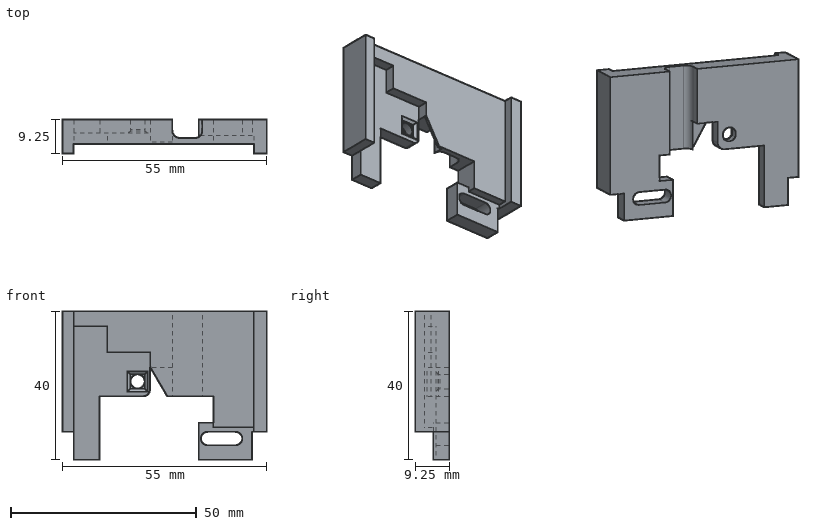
import cadquery as cq

LENGTH = 55.0
DEPTH = 9.25
HEIGHT = 40.0

PLATE_THICKNESS = 6.7
LEG_THICKNESS = 3.7
FOOT_THICKNESS = 4.35

RAIL_BOTTOM = 7.5
LEFT_RAIL_WIDTH = 3.0
RIGHT_RAIL_INNER = 51.5

STEP_X = 12.0
STEP_TOP = 35.95
STEP_BOTTOM = 28.95
NOTCH_X = 23.6
NOTCH_TOP = 24.85
NOTCH_FOOT_X = 28.15
WEB_BOTTOM = 17.05
RIGHT_LEG_X = 40.6
RIGHT_LEG_BOTTOM = 8.7

LEG_RIGHT = 10.0
TAB_CORNER_RADIUS = 2.0

FOOT_LEFT = 36.65
FOOT_RIGHT = 51.0
FOOT_TOP = 10.0
SLOT_LENGTH = 11.05
SLOT_WIDTH = 3.5
SLOT_CENTER_X = 42.8
SLOT_CENTER_Z = 5.7

CHANNEL_LEFT = 29.6
CHANNEL_RIGHT = 37.6
CHANNEL_DEPTH = 5.0
CHANNEL_RADIUS = 2.0

NOTCH_WEB_THICKNESS = 0.65

HOLE_DIAMETER = 3.8
HOLE_X = 20.2
HOLE_Z = 21.05
MOUTH_SIZE = 5.5
MOUTH_TAPER_DEPTH = 0.6
SEAT_DEPTH = 1.05


def back_layer(points, thickness):
    """Extrude an XZ outline forward from the back face."""
    return cq.Workplane("XZ", origin=(0, DEPTH, 0)).polyline(points).close().extrude(thickness)


def box(x_min, x_max, thickness, z_min, z_max):
    """Block standing against the back face."""
    outline = [(x_min, z_min), (x_max, z_min), (x_max, z_max), (x_min, z_max)]
    return back_layer(outline, thickness)


def front_plate():
    outline = [
        (0, HEIGHT),
        (0, STEP_TOP),
        (STEP_X, STEP_TOP),
        (STEP_X, STEP_BOTTOM),
        (NOTCH_X, STEP_BOTTOM),
        (NOTCH_X, NOTCH_TOP),
        (NOTCH_FOOT_X, WEB_BOTTOM),
        (RIGHT_LEG_X, WEB_BOTTOM),
        (RIGHT_LEG_X, RIGHT_LEG_BOTTOM),
        (RIGHT_RAIL_INNER, RIGHT_LEG_BOTTOM),
        (RIGHT_RAIL_INNER, HEIGHT),
    ]
    return back_layer(outline, PLATE_THICKNESS)


def left_leg():
    leg = box(LEFT_RAIL_WIDTH, LEG_RIGHT, LEG_THICKNESS, 0, STEP_TOP)
    shoulder = box(LEFT_RAIL_WIDTH, STEP_X, LEG_THICKNESS, STEP_BOTTOM, STEP_TOP)
    tab = box(LEFT_RAIL_WIDTH, NOTCH_X, LEG_THICKNESS, WEB_BOTTOM, STEP_BOTTOM)
    tab = tab.edges("|Y and >X and <Z").fillet(TAB_CORNER_RADIUS)
    return leg.union(shoulder).union(tab)


def foot():
    upper = box(RIGHT_LEG_X, RIGHT_RAIL_INNER, FOOT_THICKNESS, RAIL_BOTTOM, FOOT_TOP)
    lower = box(FOOT_LEFT, FOOT_RIGHT, FOOT_THICKNESS, 0, FOOT_TOP)
    slot = (
        cq.Workplane("XZ", origin=(0, DEPTH, 0))
        .center(SLOT_CENTER_X, SLOT_CENTER_Z)
        .slot2D(SLOT_LENGTH, SLOT_WIDTH)
        .extrude(FOOT_THICKNESS)
    )
    return upper.union(lower).cut(slot)


def back_channel():
    channel = box(CHANNEL_LEFT, CHANNEL_RIGHT, CHANNEL_DEPTH, WEB_BOTTOM, HEIGHT)
    return channel.edges("|Z and <Y").fillet(CHANNEL_RADIUS)


def notch_relief():
    """Pocket joining the slanted notch edge to the back channel."""
    outline = [
        (NOTCH_X, NOTCH_TOP),
        (NOTCH_FOOT_X, WEB_BOTTOM),
        (CHANNEL_LEFT, WEB_BOTTOM),
        (CHANNEL_LEFT, NOTCH_TOP),
    ]
    return back_layer(outline, PLATE_THICKNESS - NOTCH_WEB_THICKNESS)


def hole_with_square_mouth():
    leg_front = DEPTH - LEG_THICKNESS
    front = cq.Workplane("XZ", origin=(HOLE_X, leg_front, HOLE_Z))
    bore = front.circle(HOLE_DIAMETER / 2).extrude(-LEG_THICKNESS)
    seat = front.rect(HOLE_DIAMETER, HOLE_DIAMETER).extrude(-SEAT_DEPTH)
    mouth = (
        front.rect(MOUTH_SIZE, MOUTH_SIZE)
        .workplane(offset=-MOUTH_TAPER_DEPTH)
        .rect(HOLE_DIAMETER, HOLE_DIAMETER)
        .loft()
    )
    return bore.union(seat).union(mouth)


left_rail = box(0, LEFT_RAIL_WIDTH, DEPTH, RAIL_BOTTOM, HEIGHT)
right_rail = box(RIGHT_RAIL_INNER, LENGTH, DEPTH, RAIL_BOTTOM, HEIGHT)

plate = front_plate().cut(back_channel()).cut(notch_relief())
body = plate.union(left_leg()).union(left_rail).union(right_rail)
body = body.union(foot())
result = body.cut(hole_with_square_mouth())